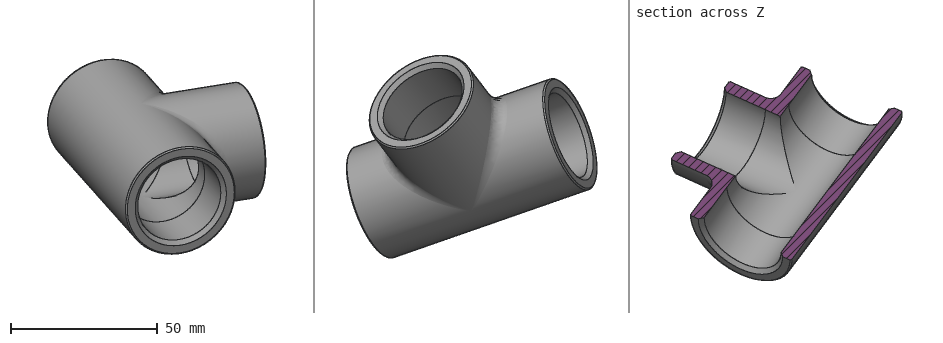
import cadquery as cq

run_length = 76.0
branch_reach = run_length / 2
outer_diameter = 40.0
socket_diameter = 30.29
socket_depth = 17.0
core_diameter = 30.27
mouth_diameter = 33.25
countersink_angle = 45.0
countersink_depth = (mouth_diameter - socket_diameter) / 2
rim_chamfer = 0.5
crotch_radius = 4.0

outer_radius = outer_diameter / 2

left_opening = cq.Plane(origin=(-run_length / 2, 0, 0), xDir=(0, 1, 0), normal=(-1, 0, 0))
right_opening = cq.Plane(origin=(run_length / 2, 0, 0), xDir=(0, 1, 0), normal=(1, 0, 0))
branch_opening = cq.Plane(origin=(0, branch_reach, 0), xDir=(1, 0, 0), normal=(0, 1, 0))
openings = [left_opening, right_opening, branch_opening]


def cylinder_inward(opening, diameter, length):
    """Cylinder that starts at an opening and runs into the part."""
    return cq.Workplane(opening).circle(diameter / 2).extrude(-length)


def crossing_cylinders(diameter):
    """Full-length run joined with a branch that ends on the run axis."""
    run = cylinder_inward(left_opening, diameter, run_length)
    branch = cylinder_inward(branch_opening, diameter, branch_reach)
    return run.union(branch)


def tee_body():
    """Solid tee with rounded crotches and chamfered rims."""
    body = crossing_cylinders(outer_diameter)
    crotch_box = cq.selectors.BoxSelector(
        (-outer_radius, 0, -outer_radius),
        (outer_radius, outer_radius, outer_radius),
    )
    body = body.edges(crotch_box).fillet(crotch_radius)
    return body.faces("<X or >X or >Y").edges().chamfer(rim_chamfer)


def socket(opening):
    """Straight socket with a conical lead-in at its mouth."""
    straight = cylinder_inward(opening, socket_diameter, socket_depth)
    lead_in = (
        cq.Workplane(opening)
        .circle(mouth_diameter / 2)
        .extrude(-countersink_depth, taper=countersink_angle)
    )
    return straight.union(lead_in)


result = tee_body().cut(crossing_cylinders(core_diameter))
for opening in openings:
    result = result.cut(socket(opening))